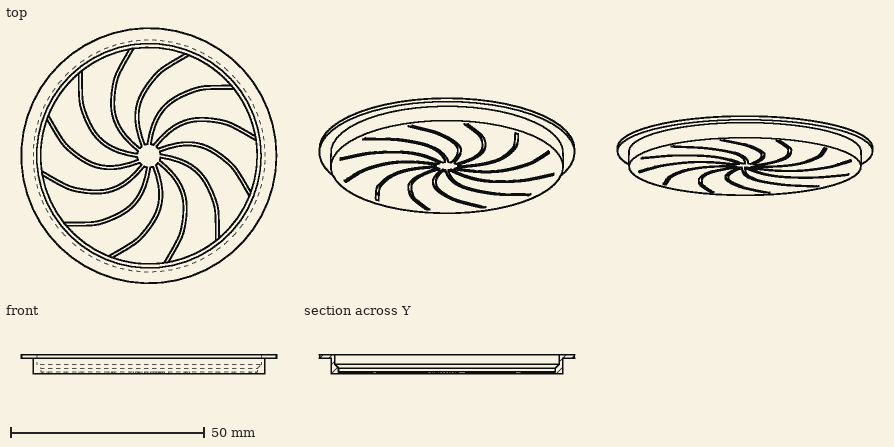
import cadquery as cq

TOTAL_HEIGHT = 5.0
FLANGE_DIAMETER = 66.0
FLANGE_THICKNESS = 1.0

CUP_DIAMETER = 60.0
UPPER_BORE_DIAMETER = 58.0
LOWER_BORE_DIAMETER = 56.0
FLOOR_THICKNESS = 0.5
LOWER_BORE_HEIGHT = 1.0
TAPER_HEIGHT = 1.0

CENTER_HOLE_DIAMETER = 6.0
SLOT_COUNT = 12
SLOT_WIDTH = 0.8
SLOT_PATH = [(0.0, 2.65), (1.9, 9.45), (5.4, 13.8), (11.15, 16.75), (22.1, 17.7)]
SLOT_START_DIRECTION = (0.15, 1.0)
SLOT_END_DIRECTION = (1.0, 0.0)


def make_ring():
    """Flanged cup wall with the stepped, tapered bore, revolved about Z."""
    flange_radius = FLANGE_DIAMETER / 2
    cup_radius = CUP_DIAMETER / 2
    upper_radius = UPPER_BORE_DIAMETER / 2
    lower_radius = LOWER_BORE_DIAMETER / 2
    flange_bottom = TOTAL_HEIGHT - FLANGE_THICKNESS
    taper_bottom = FLOOR_THICKNESS + LOWER_BORE_HEIGHT
    taper_top = taper_bottom + TAPER_HEIGHT
    profile = [
        (lower_radius, 0),
        (cup_radius, 0),
        (cup_radius, flange_bottom),
        (flange_radius, flange_bottom),
        (flange_radius, TOTAL_HEIGHT),
        (upper_radius, TOTAL_HEIGHT),
        (upper_radius, taper_top),
        (lower_radius, taper_bottom),
    ]
    return cq.Workplane("XZ").polyline(profile).close().revolve(360, (0, 0), (0, 1))


def make_slot_cutter():
    """Curved bar following the slot centreline, as tall as the floor is thick."""
    mid_height = FLOOR_THICKNESS / 2
    path = cq.Workplane("XY", origin=(0, 0, mid_height)).spline(
        SLOT_PATH, tangents=[SLOT_START_DIRECTION, SLOT_END_DIRECTION]
    )
    start_x, start_y = SLOT_PATH[0]
    start_plane = cq.Plane(
        origin=(start_x, start_y, mid_height),
        xDir=(0, 0, 1),
        normal=(*SLOT_START_DIRECTION, 0),
    )
    return cq.Workplane(start_plane).rect(FLOOR_THICKNESS, SLOT_WIDTH).sweep(path)


def make_floor():
    """Thin disc with a centre hole and a swirl of curved slots running to its rim."""
    floor = (
        cq.Workplane("XY")
        .circle(LOWER_BORE_DIAMETER / 2)
        .circle(CENTER_HOLE_DIAMETER / 2)
        .extrude(FLOOR_THICKNESS)
    )
    cutter = make_slot_cutter()
    for index in range(SLOT_COUNT):
        angle = index * 360 / SLOT_COUNT
        floor = floor.cut(cutter.rotate((0, 0, 0), (0, 0, 1), angle))
    return floor


result = make_ring().union(make_floor())